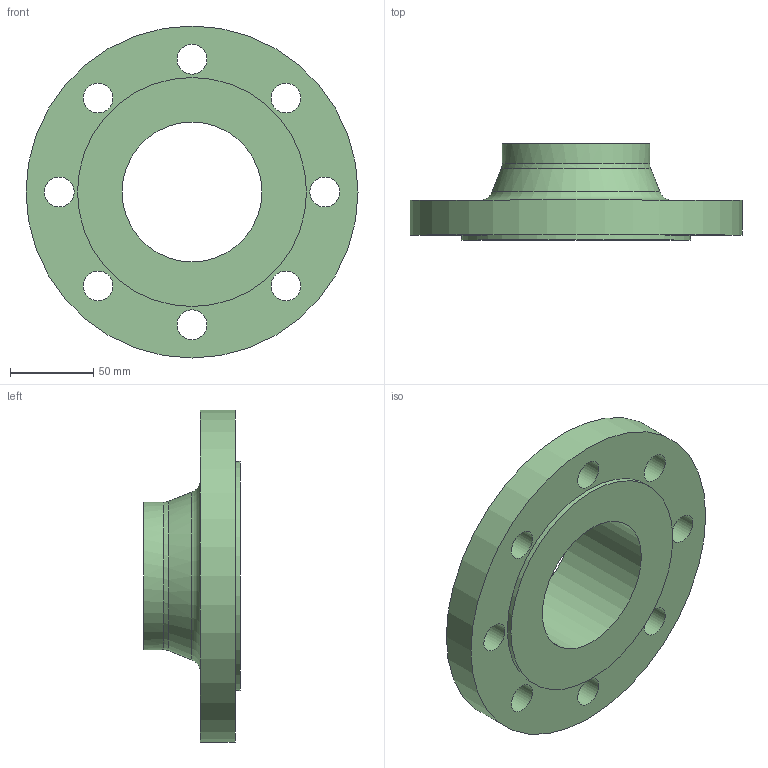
import cadquery as cq

flange_diameter = 200.0
flange_back_y = 24.0
total_length = 58.0

raised_face_diameter = 138.0
raised_face_height = 3.0

bore_diameter = 84.3
neck_end_diameter = 88.9
neck_base_diameter = 105.0
straight_neck_length = 13.5
neck_blend_radius = 8.0

bolt_count = 8
bolt_circle_diameter = 160.0
bolt_hole_diameter = 18.0

cone_top_y = total_length - straight_neck_length


def turned_body():
    """Ring swept from the half section: raised face, disc, cone and straight neck."""
    bore_radius = bore_diameter / 2
    face_radius = raised_face_diameter / 2
    disc_radius = flange_diameter / 2
    base_radius = neck_base_diameter / 2
    end_radius = neck_end_diameter / 2

    half_section = [
        (bore_radius, 0),
        (face_radius, 0),
        (face_radius, raised_face_height),
        (disc_radius, raised_face_height),
        (disc_radius, flange_back_y),
        (base_radius, flange_back_y),
        (end_radius, cone_top_y),
        (end_radius, total_length),
        (bore_radius, total_length),
    ]
    return cq.Workplane("XY").polyline(half_section).close().revolve(360, (0, 0), (0, 1))


def circular_edge(body, diameter, y):
    """Select the circular edge of the given diameter at the given y."""
    margin = 0.1
    half_width = diameter / 2 + margin
    box = cq.selectors.BoxSelector(
        (-half_width, y - margin, -half_width),
        (half_width, y + margin, half_width),
        boundingbox=True,
    )
    return body.edges("%CIRCLE").edges(box)


def blend_neck(body):
    """Round the inside corners at the foot and at the top of the cone."""
    body = circular_edge(body, neck_base_diameter, flange_back_y).fillet(neck_blend_radius)
    return circular_edge(body, neck_end_diameter, cone_top_y).fillet(neck_blend_radius)


def bolt_holes():
    """Through-hole cutters spaced evenly round the bolt circle, one on the X axis."""
    return (
        cq.Workplane("XZ", origin=(0, flange_back_y, 0))
        .polarArray(bolt_circle_diameter / 2, 0, 360, bolt_count)
        .circle(bolt_hole_diameter / 2)
        .extrude(flange_back_y)
    )


result = blend_neck(turned_body()).cut(bolt_holes())